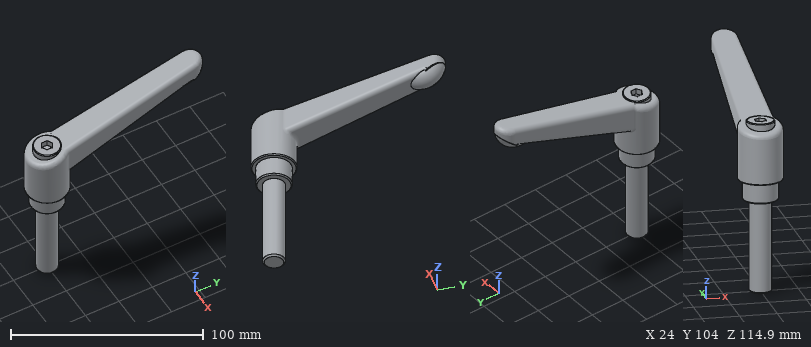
import cadquery as cq
import math

COLLAR_BOTTOM = 50.0
HUB_BOTTOM = 60.9
SCREW_TOP = 93.0

STUD_RADIUS = 6.0
STUD_CHAMFER = 0.9
COLLAR_RADIUS = 9.5
COLLAR_CHAMFER = 0.7

HEAD_RADIUS = 7.5
HEAD_CHAMFER = 0.5
HEAD_HEIGHT = 10.0
SHANK_RADIUS = 3.0
SHANK_DEPTH_IN_STUD = 9.2
SOCKET_ACROSS_FLATS = 5.5
SOCKET_DEPTH = 3.5

HUB_DIAMETER = 24.0
HUB_RADIUS = HUB_DIAMETER / 2
HUB_CHAMFER = 0.6
HUB_TOP_FILLET = 2.8

TOP_ANGLE = 15.1
TOP_HEIGHT_ON_AXIS = 90.9
UNDERSIDE_ANGLE = 19.7
UNDERSIDE_HEIGHT_ON_AXIS = 73.0
OVERALL_LENGTH = 104.0
LEVER_REACH = OVERALL_LENGTH - HUB_RADIUS
NOSE_RADIUS = 7.1
ROOT_HALF_WIDTH = 9.2
ARM_TOP_FILLET = 2.8
ARM_BOTTOM_FILLET = 2.9
ROOT_FILLET = 2.1

NOSE_UNDERSIDE_START = 82.8
NOSE_FRONT_HEIGHT = 109.8

BULB_CENTRE_Y = 79.3
BULB_CENTRE_HEIGHT = 110.8
BULB_RADIUS = 12.6
BULB_HALF_WIDTH = 6.9
BULB_TOP_DEPTH = 4.6

HEAD_SEAT = SCREW_TOP - HEAD_HEIGHT
OVERSIZE = 46.0


def top_height(y):
    return TOP_HEIGHT_ON_AXIS + y * math.tan(math.radians(TOP_ANGLE))


def underside_height(y):
    return UNDERSIDE_HEIGHT_ON_AXIS + y * math.tan(math.radians(UNDERSIDE_ANGLE))


def slope_normal(angle):
    """Upward normal of a plane that rises toward +Y at the given angle."""
    return cq.Vector(0, -math.sin(math.radians(angle)), math.cos(math.radians(angle)))


def cylinder(radius, bottom, top):
    return cq.Workplane("XY").workplane(offset=bottom).circle(radius).extrude(top - bottom)


def side_extrusion(profile):
    """Extrude a closed YZ profile evenly to both sides of the lever's centre plane."""
    return profile.close().extrude(OVERSIZE / 2, both=True)


def space_below_top(depth):
    """Everything lower than the given vertical depth under the lever's sloping top."""
    reach = 2 * LEVER_REACH
    return side_extrusion(
        cq.Workplane("YZ")
        .moveTo(-reach, -OVERSIZE)
        .lineTo(reach, -OVERSIZE)
        .lineTo(reach, top_height(reach) - depth)
        .lineTo(-reach, top_height(-reach) - depth)
    )


def make_hub():
    hub = cylinder(HUB_RADIUS, HUB_BOTTOM, HUB_BOTTOM + OVERSIZE)
    hub = hub.intersect(space_below_top(0))
    hub = hub.faces("<Z").chamfer(HUB_CHAMFER)
    return hub.faces(">Z").edges().fillet(HUB_TOP_FILLET)


def make_arm_envelope():
    """Tapered, round-nosed block with the sloping, rounded top of the arm."""
    nose_centre = LEVER_REACH - NOSE_RADIUS
    taper = math.acos(NOSE_RADIUS / math.hypot(ROOT_HALF_WIDTH, nose_centre)) - math.atan2(
        nose_centre, ROOT_HALF_WIDTH
    )
    tangent_x = NOSE_RADIUS * math.cos(taper)
    tangent_y = nose_centre + NOSE_RADIUS * math.sin(taper)
    block = (
        cq.Workplane("XY")
        .workplane(offset=HUB_BOTTOM)
        .moveTo(-ROOT_HALF_WIDTH, 0)
        .lineTo(ROOT_HALF_WIDTH, 0)
        .lineTo(tangent_x, tangent_y)
        .threePointArc((0, LEVER_REACH), (-tangent_x, tangent_y))
        .close()
        .extrude(2 * OVERSIZE)
    )
    block = block.intersect(space_below_top(0))
    top = block.faces(cq.selectors.ParallelDirSelector(slope_normal(TOP_ANGLE)))
    return top.edges("not |X").fillet(ARM_TOP_FILLET)


def make_arm(envelope):
    """Part of the envelope above the rising underside, with rounded lower edges."""
    above_underside = side_extrusion(
        cq.Workplane("YZ")
        .moveTo(0, underside_height(0))
        .lineTo(NOSE_UNDERSIDE_START, underside_height(NOSE_UNDERSIDE_START))
        .lineTo(LEVER_REACH, NOSE_FRONT_HEIGHT)
        .lineTo(2 * LEVER_REACH, NOSE_FRONT_HEIGHT)
        .lineTo(2 * LEVER_REACH, 3 * OVERSIZE)
        .lineTo(0, 3 * OVERSIZE)
    )
    arm = envelope.intersect(above_underside)
    underside = arm.faces(cq.selectors.ParallelDirSelector(slope_normal(UNDERSIDE_ANGLE)))
    return underside.edges("not |X").fillet(ARM_BOTTOM_FILLET)


def make_bulb():
    """Fully rounded disc, its top cut parallel to the arm's top and hidden inside the arm."""
    rim_centre = BULB_RADIUS - BULB_HALF_WIDTH
    half_section = (
        cq.Workplane("XY")
        .moveTo(-BULB_HALF_WIDTH, 0)
        .lineTo(-BULB_HALF_WIDTH, rim_centre)
        .threePointArc((0, BULB_RADIUS), (BULB_HALF_WIDTH, rim_centre))
        .lineTo(BULB_HALF_WIDTH, 0)
        .close()
    )
    disc = half_section.revolve(360, (0, 0), (1, 0))
    disc = disc.translate((0, BULB_CENTRE_Y, BULB_CENTRE_HEIGHT))
    return disc.intersect(space_below_top(BULB_TOP_DEPTH))


def make_handle():
    envelope = make_arm_envelope()
    handle = make_hub().union(make_arm(envelope)).union(make_bulb())
    handle = handle.edges(root_corners()).fillet(ROOT_FILLET)
    head_recess = cylinder(HEAD_RADIUS, HEAD_SEAT, HEAD_SEAT + OVERSIZE)
    shank_hole = cylinder(SHANK_RADIUS, HUB_BOTTOM, HEAD_SEAT)
    return handle.cut(head_recess).cut(shank_hole)


def root_corners():
    """Selector for the two upright corners where the arm's sides leave the hub."""
    corner_box = cq.selectors.BoxSelector(
        (-HUB_RADIUS, HUB_RADIUS / 2, underside_height(0)),
        (HUB_RADIUS, HUB_RADIUS, top_height(0)),
    )
    return corner_box & cq.selectors.ParallelDirSelector(cq.Vector(0, 0, 1))


def make_stud():
    """Threaded stud with a collar and a blind hole for the screw shank."""
    rod = cylinder(STUD_RADIUS, 0, COLLAR_BOTTOM).faces("<Z").chamfer(STUD_CHAMFER)
    collar = cylinder(COLLAR_RADIUS, COLLAR_BOTTOM, HUB_BOTTOM).faces("<Z").chamfer(COLLAR_CHAMFER)
    shank_hole = cylinder(SHANK_RADIUS, HUB_BOTTOM - SHANK_DEPTH_IN_STUD, HUB_BOTTOM)
    return rod.union(collar).cut(shank_hole)


def make_screw():
    """Cylindrical-head screw with a hexagon socket, points of the hexagon along Y."""
    head = cylinder(HEAD_RADIUS, HEAD_SEAT, SCREW_TOP).faces(">Z").chamfer(HEAD_CHAMFER)
    shank = cylinder(SHANK_RADIUS, HUB_BOTTOM - SHANK_DEPTH_IN_STUD, HEAD_SEAT)
    across_corners = SOCKET_ACROSS_FLATS / math.cos(math.pi / 6)
    socket = (
        cq.Workplane("XY")
        .workplane(offset=SCREW_TOP - SOCKET_DEPTH)
        .polygon(6, across_corners)
        .extrude(SOCKET_DEPTH)
        .rotate((0, 0, 0), (0, 0, 1), 90)
    )
    return head.union(shank).cut(socket)


handle = make_handle()
stud = make_stud()
screw = make_screw()

result = cq.Compound.makeCompound([handle.val(), stud.val(), screw.val()])